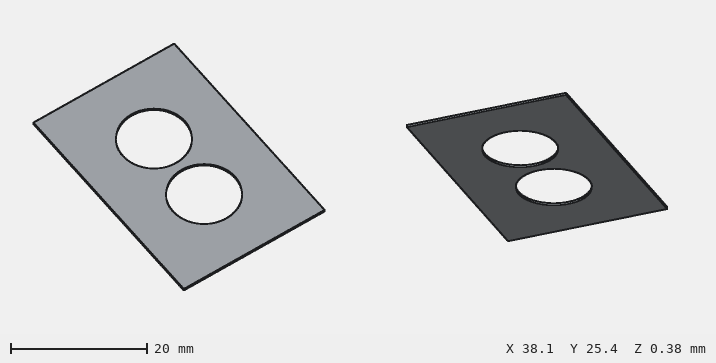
import cadquery as cq

plate_length = 38.1
plate_width = 25.4
plate_thickness = 0.38

hole_diameter = 11.18
hole_spacing = 12.7


def make_plate():
    """Flat plate centred in X and Y, with its bottom face on Z = 0."""
    return cq.Workplane("XY").box(
        plate_length, plate_width, plate_thickness, centered=(True, True, False)
    )


def cut_holes(plate):
    """Cut the two round holes through the full thickness of the plate."""
    hole_centres = [(-hole_spacing / 2, 0), (hole_spacing / 2, 0)]
    return plate.faces(">Z").workplane().pushPoints(hole_centres).hole(hole_diameter)


result = cut_holes(make_plate())